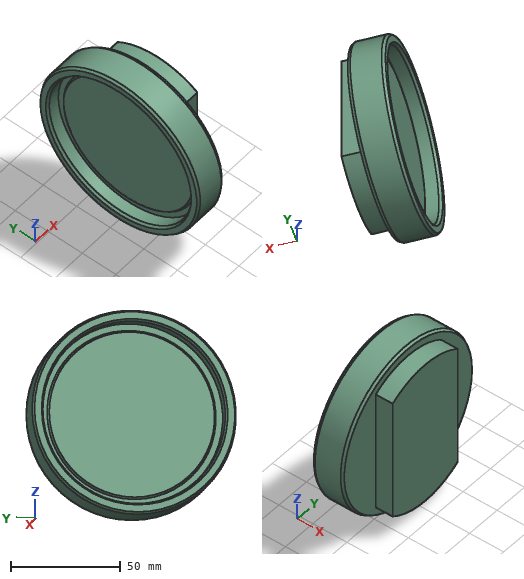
import cadquery as cq
import math

outer_radius = 47.5
total_length = 28.0
boss_length = 10.0
rim_length = total_length - boss_length
bevel_length = 1.5
bevel_angle = 30
bevel_depth = bevel_length * math.tan(math.radians(bevel_angle))

recess_radius = 42.5
recess_depth = 8.0
pad_base_radius = 39.3
pad_height = 1.0
pad_taper = 0.9

boss_radius = recess_radius
boss_width = 47.5


def make_cap():
    """Revolve the bevelled rim, recess and raised tapered pad about X."""
    profile = [
        (recess_depth - pad_height, 0),
        (recess_depth - pad_height, pad_base_radius - pad_taper),
        (recess_depth, pad_base_radius),
        (recess_depth, recess_radius),
        (bevel_length, recess_radius),
        (0, recess_radius + bevel_depth),
        (0, outer_radius - bevel_depth),
        (bevel_length, outer_radius),
        (rim_length - bevel_length, outer_radius),
        (rim_length, outer_radius - bevel_depth),
        (rim_length, 0),
    ]
    return cq.Workplane("XY").polyline(profile).close().revolve(360, (0, 0), (1, 0))


def make_boss():
    """Round boss cut to two flats parallel to XZ."""
    base = cq.Workplane("YZ", origin=(rim_length, 0, 0))
    round_boss = base.circle(boss_radius).extrude(boss_length)
    flats = base.rect(boss_width, 2 * boss_radius).extrude(boss_length)
    return round_boss.intersect(flats)


result = make_cap().union(make_boss())